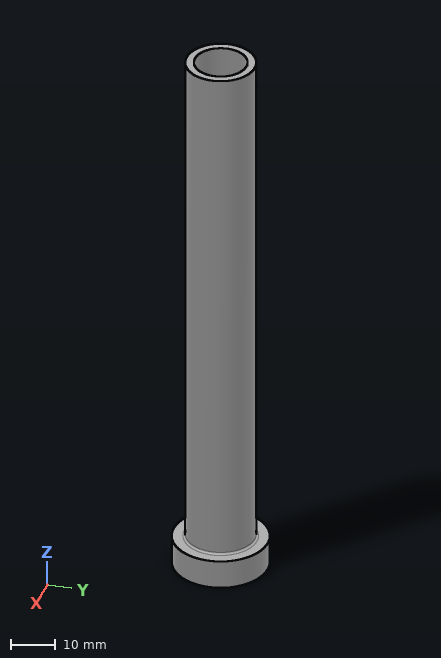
import cadquery as cq

total_length = 132.0
head_diameter = 22.0
head_height = 7.0
shank_diameter = 16.0
bore_diameter = 12.0
root_fillet_radius = 0.5

head_radius = head_diameter / 2
shank_radius = shank_diameter / 2

half_section = (
    cq.Workplane("XZ")
    .lineTo(head_radius, 0)
    .lineTo(head_radius, head_height)
    .lineTo(shank_radius + root_fillet_radius, head_height)
    .radiusArc((shank_radius, head_height + root_fillet_radius), root_fillet_radius)
    .lineTo(shank_radius, total_length)
    .lineTo(0, total_length)
    .close()
)
body = half_section.revolve(360, (0, 0, 0), (0, 1, 0))

bore = cq.Workplane("XY").circle(bore_diameter / 2).extrude(total_length)

result = body.cut(bore)